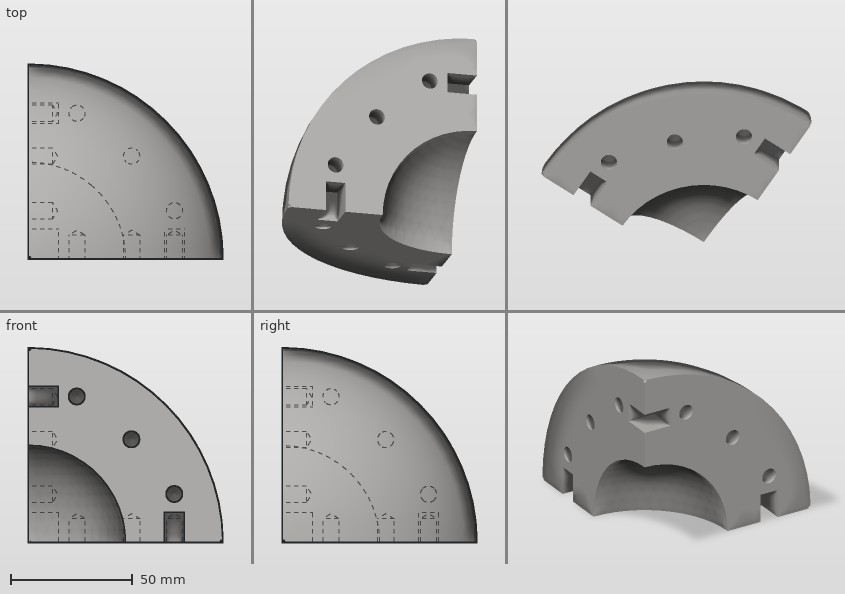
import cadquery as cq
import math

outer_radius = 80
inner_radius = outer_radius / 2
mid_radius = (outer_radius + inner_radius) / 2

hole_diameter = 6.6
hole_depth = 10.0
drill_point_angle = 118
outer_hole_near = outer_radius / 4
outer_hole_far = mid_radius
middle_hole_offset = mid_radius * math.sin(math.radians(45))

pocket_height = 8.3
pocket_reach = 12.5

notch_radius = 1.1

AXES = (cq.Vector(1, 0, 0), cq.Vector(0, 1, 0), cq.Vector(0, 0, 1))


def octant_shell():
    ball = cq.Workplane("XY").sphere(outer_radius)
    cavity = cq.Workplane("XY").sphere(inner_radius)
    octant = cq.Workplane("XY").box(outer_radius, outer_radius, outer_radius, centered=False)
    return ball.cut(cavity).intersect(octant)


def axis_pocket(axis):
    """Block centred on the axis, square across it, so each cut face gets half its width."""
    sides = [pocket_height if along else 2 * pocket_reach for along in axis.toTuple()]
    return cq.Workplane("XY").box(*sides).translate(axis * mid_radius)


def tip_notch(axis):
    return cq.Workplane("XY").sphere(notch_radius).translate(axis * outer_radius)


def drilled_hole(mouth, direction):
    """Cylinder with a conical end, starting at the mouth on a cut face."""
    radius = hole_diameter / 2
    point_height = radius / math.tan(math.radians(drill_point_angle / 2))
    bore = cq.Solid.makeCylinder(radius, hole_depth, mouth, direction)
    point = cq.Solid.makeCone(radius, 0, point_height, mouth + direction * hole_depth, direction)
    return cq.Workplane(bore).union(cq.Workplane(point))


hole_places = (
    (outer_hole_near, outer_hole_far),
    (middle_hole_offset, middle_hole_offset),
    (outer_hole_far, outer_hole_near),
)

result = octant_shell()
for index, normal in enumerate(AXES):
    result = result.cut(axis_pocket(normal))
    result = result.cut(tip_notch(normal))

    first = AXES[(index + 1) % 3]
    second = AXES[(index + 2) % 3]
    for along_first, along_second in hole_places:
        mouth = first * along_first + second * along_second
        result = result.cut(drilled_hole(mouth, normal))